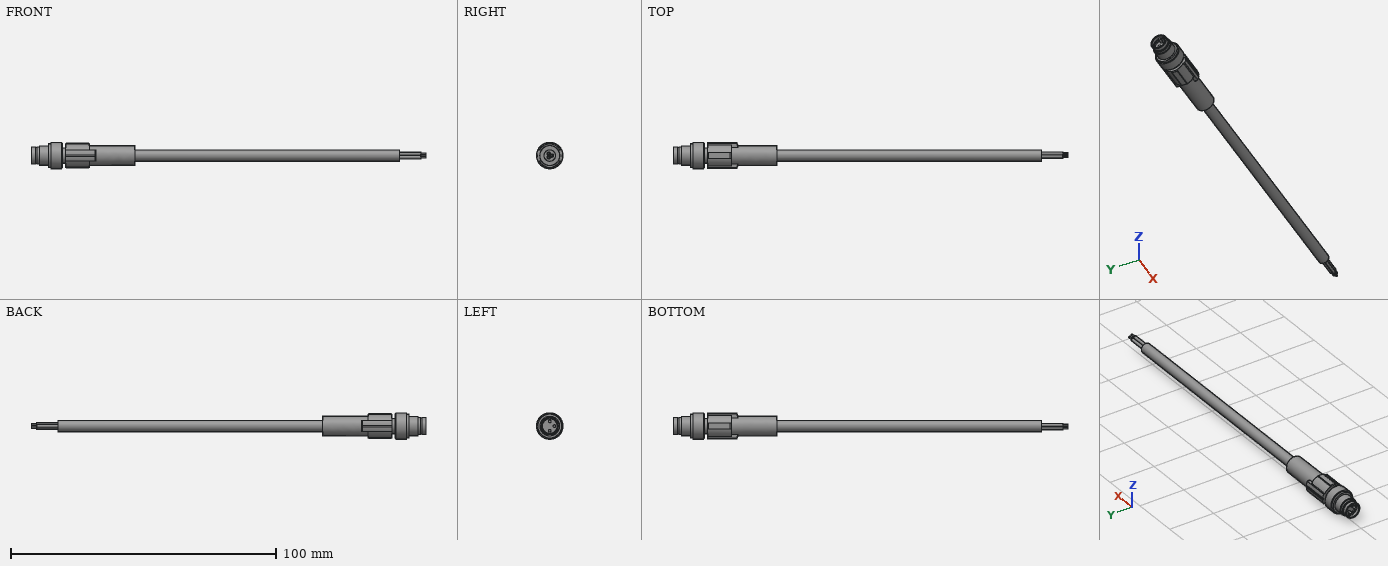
import cadquery as cq
import math

LENGTH = 148.7
OUTER_RADIUS = 5.0

RIM_END = 1.6
GROOVE_END = 2.1
NOSE_END = 3.0
BARREL_END = 6.4
COLLAR_END = 7.3
NUT_CHAMFER_START = 11.3
NUT_END = 11.8
GRIP_START = 12.9
GRIP_END = 21.8
WING_END = 24.3
SHOULDER_END = 25.1
SLEEVE_END = 39.0
JACKET_END = 138.7
INSULATION_END = 146.7

RIM_RADIUS = 3.25
GROOVE_RADIUS = 3.05
BARREL_RADIUS = 3.7
COLLAR_RADIUS = 4.5
NUT_CHAMFER_RADIUS = 4.4
NECK_RADIUS = 2.9
GRIP_RADIUS = 4.45
SHOULDER_RADIUS = 3.78
SLEEVE_END_RADIUS = 3.75
JACKET_RADIUS = 2.15

SOCKET_RADIUS = 2.75
SOCKET_DEPTH = 2.5
PIN_RADIUS = 0.5
PIN_CIRCLE_RADIUS = 1.75
PIN_SETBACK = 0.5
PIN_ANGLES = (90, 180, 270)

WING_HALF_HEIGHT = 2.13
WING_RADIUS = 4.95
WING_END_BEVEL = 0.4
WING_SLOT_WIDTH = 0.6
WING_SLOT_DEPTH = 0.3

PAD_WIDTH = 2.3
PAD_HEIGHT = 4.75
PAD_BEVEL = 0.4
PAD_BEVEL_DROP = 0.3

WIRE_RADIUS = 0.66
STRAND_RADIUS = 0.35
WIRE_CIRCLE_RADIUS = 0.75
WIRE_ANGLES = (0, 120, 240)
EMBED = 1.0


def rod(radius, start, end, y=0.0, z=0.0):
    """Cylinder along X from start to end."""
    return cq.Workplane("YZ", origin=(start, y, z)).circle(radius).extrude(end - start)


def rods_on_circle(radius, start, end, circle_radius, angles):
    """Equal cylinders along X, set on a circle at angles measured from +Y toward +Z."""
    rods = cq.Workplane("XY")
    for angle in angles:
        y = circle_radius * math.cos(math.radians(angle))
        z = circle_radius * math.sin(math.radians(angle))
        rods = rods.add(rod(radius, start, end, y, z))
    return rods.combine()


def turned_body():
    """Plug nose, nut, grip, sleeve and cable jacket as one revolved profile."""
    profile = [
        (0, 0),
        (0, RIM_RADIUS),
        (RIM_END, RIM_RADIUS),
        (RIM_END, GROOVE_RADIUS),
        (GROOVE_END, GROOVE_RADIUS),
        (GROOVE_END, RIM_RADIUS),
        (NOSE_END, RIM_RADIUS),
        (NOSE_END, BARREL_RADIUS),
        (BARREL_END, BARREL_RADIUS),
        (BARREL_END, COLLAR_RADIUS),
        (COLLAR_END, COLLAR_RADIUS),
        (COLLAR_END, OUTER_RADIUS),
        (NUT_CHAMFER_START, OUTER_RADIUS),
        (NUT_END, NUT_CHAMFER_RADIUS),
        (NUT_END, NECK_RADIUS),
        (GRIP_START, NECK_RADIUS),
        (GRIP_START, GRIP_RADIUS),
        (GRIP_END, GRIP_RADIUS),
        (GRIP_END, SHOULDER_RADIUS),
        (SHOULDER_END, SHOULDER_RADIUS),
        (SLEEVE_END, SLEEVE_END_RADIUS),
        (SLEEVE_END, JACKET_RADIUS),
        (JACKET_END, JACKET_RADIUS),
        (JACKET_END, 0),
    ]
    return (
        cq.Workplane("XY")
        .polyline([(x, -radius) for x, radius in profile])
        .close()
        .revolve(360, (0, 0, 0), (1, 0, 0))
    )


def wings():
    """Both grip wings: a slab trimmed to a round crest on each side."""
    bevel_start = WING_END - WING_END_BEVEL
    envelope = (
        cq.Workplane("XY")
        .moveTo(GRIP_START, 0)
        .lineTo(GRIP_START, WING_RADIUS)
        .lineTo(bevel_start, WING_RADIUS)
        .lineTo(WING_END, SHOULDER_RADIUS)
        .lineTo(WING_END, 0)
        .close()
        .revolve(360, (0, 0, 0), (1, 0, 0))
    )
    length = WING_END - GRIP_START
    middle = GRIP_START + length / 2
    slab = cq.Workplane("XY", origin=(middle, 0, 0)).box(length, 2 * WING_RADIUS, 2 * WING_HALF_HEIGHT)
    return envelope.intersect(slab)


def wing_slots():
    """Narrow slots along the crests of the wings."""
    length = WING_END - GRIP_START
    middle = GRIP_START + length / 2
    return (
        cq.Workplane("XY", origin=(middle, 0, 0))
        .pushPoints([(0, WING_RADIUS), (0, -WING_RADIUS)])
        .box(length, 2 * WING_SLOT_DEPTH, WING_SLOT_WIDTH)
    )


def pads():
    """Flat-topped pads with bevelled ends on the top and bottom of the grip."""
    shoulder = PAD_HEIGHT - PAD_BEVEL_DROP
    return (
        cq.Workplane("XZ")
        .polyline(
            [
                (GRIP_START, -shoulder),
                (GRIP_START, shoulder),
                (GRIP_START + PAD_BEVEL, PAD_HEIGHT),
                (GRIP_END - PAD_BEVEL, PAD_HEIGHT),
                (GRIP_END, shoulder),
                (GRIP_END, -shoulder),
                (GRIP_END - PAD_BEVEL, -PAD_HEIGHT),
                (GRIP_START + PAD_BEVEL, -PAD_HEIGHT),
            ]
        )
        .close()
        .extrude(PAD_WIDTH / 2, both=True)
    )


pins = rods_on_circle(PIN_RADIUS, PIN_SETBACK, NOSE_END, PIN_CIRCLE_RADIUS, PIN_ANGLES)
wires = rods_on_circle(WIRE_RADIUS, JACKET_END - EMBED, INSULATION_END, WIRE_CIRCLE_RADIUS, WIRE_ANGLES)
strands = rods_on_circle(STRAND_RADIUS, INSULATION_END - EMBED, LENGTH, WIRE_CIRCLE_RADIUS, WIRE_ANGLES)

plug = turned_body().cut(rod(SOCKET_RADIUS, 0, SOCKET_DEPTH)).union(pins)
grip = plug.union(wings()).cut(wing_slots()).union(pads())
result = grip.union(wires).union(strands)